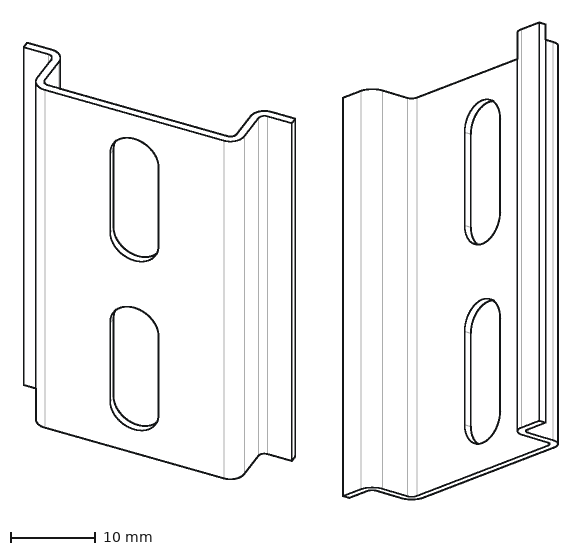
import cadquery as cq

rail_width = 35.0
rail_depth = 7.5
rail_length = 50.0

thickness = 1.0
channel_width = 27.0
inner_radius = 0.8
outer_radius = inner_radius + thickness

slot_width = 6.3
slot_length = 18.0
slot_pitch = rail_length / 2

web_y = -rail_depth / 2
flange_y = rail_depth / 2
edge_x = rail_width / 2
wall_outer_x = channel_width / 2
wall_inner_x = wall_outer_x - thickness


def block(half_width, y_min, y_max):
    """Full-length block centred on X, spanning y_min to y_max."""
    return (
        cq.Workplane("XY")
        .box(2 * half_width, y_max - y_min, rail_length)
        .translate((0, (y_min + y_max) / 2, 0))
    )


def bend_edges(x, y):
    """Selector for the two lengthwise edges at +x and -x."""
    reach = thickness / 4
    selectors = [
        cq.selectors.BoxSelector(
            (side * x - reach, y - reach, -reach),
            (side * x + reach, y + reach, reach),
        )
        for side in (-1, 1)
    ]
    return selectors[0] + selectors[1]


def make_bent_sheet():
    """Web, side walls and flanges with rounded bends."""
    sheet = block(wall_outer_x, web_y, flange_y)
    sheet = sheet.union(block(edge_x, flange_y - thickness, flange_y))
    sheet = sheet.cut(block(wall_inner_x, web_y + thickness, flange_y))

    outer_bends = bend_edges(wall_outer_x, web_y) + bend_edges(wall_inner_x, flange_y)
    inner_bends = bend_edges(wall_inner_x, web_y + thickness) + bend_edges(
        wall_outer_x, flange_y - thickness
    )
    sheet = sheet.edges(inner_bends).fillet(inner_radius)
    return sheet.edges(outer_bends).fillet(outer_radius)


def make_slots():
    """Two lengthwise slots, one in each half of the rail."""
    return (
        cq.Workplane("XZ")
        .pushPoints([(0, -slot_pitch / 2), (0, slot_pitch / 2)])
        .slot2D(slot_length, slot_width, 90)
        .extrude(rail_depth, both=True)
    )


result = make_bent_sheet().cut(make_slots())